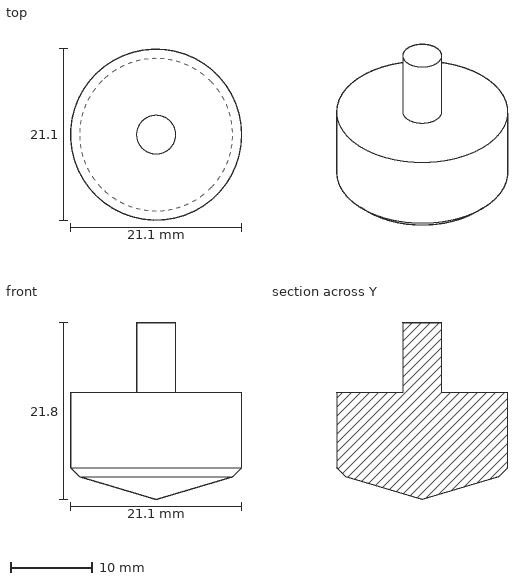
import cadquery as cq

total_height = 21.8
body_diameter = 21.1
stem_diameter = 4.8
stem_length = 8.6
chamfer_size = 1.13
cone_height = 2.8

body_radius = body_diameter / 2
stem_radius = stem_diameter / 2
cone_radius = body_radius - chamfer_size
body_bottom = cone_height + chamfer_size
body_top = total_height - stem_length

half_profile = (
    cq.Workplane("XZ")
    .moveTo(0, 0)
    .lineTo(cone_radius, cone_height)
    .lineTo(body_radius, body_bottom)
    .lineTo(body_radius, body_top)
    .lineTo(stem_radius, body_top)
    .lineTo(stem_radius, total_height)
    .lineTo(0, total_height)
    .close()
)

result = half_profile.revolve(360, (0, 0, 0), (0, 1, 0))